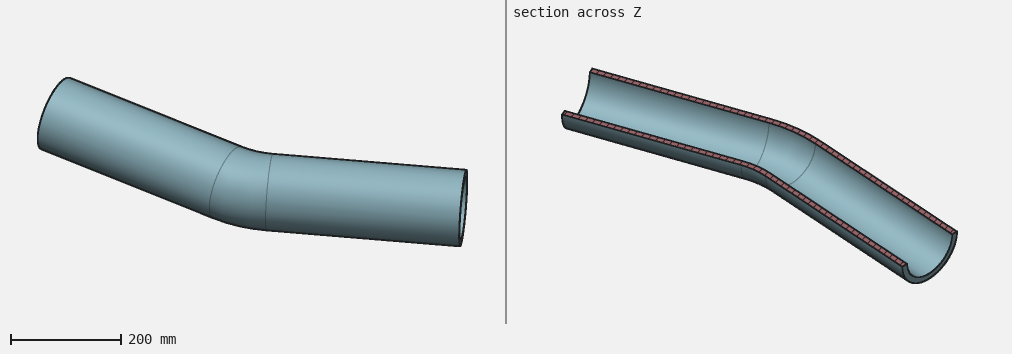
import cadquery as cq
import math

overall_length = 787.5
outer_diameter = 140.0
bore_diameter = 115.0
bend_angle = 22.0
bend_radius = 1.5 * outer_diameter

angle = math.radians(bend_angle)
bend_outer_span = (bend_radius + outer_diameter / 2) * math.sin(angle)
leg_length = (overall_length - bend_outer_span) / (1 + math.cos(angle))


def tube_section():
    """Ring profile of the pipe in the YZ plane, centred on the X axis."""
    return cq.Workplane("YZ").circle(outer_diameter / 2).circle(bore_diameter / 2)


def straight_leg():
    """Straight pipe running along +X from the origin."""
    return tube_section().extrude(leg_length)


bend = tube_section().revolve(bend_angle, (bend_radius, 0), (bend_radius, 1))
bend = bend.translate((leg_length, 0, 0))

bend_end_x = leg_length + bend_radius * math.sin(angle)
bend_end_y = bend_radius * (1 - math.cos(angle))
far_leg = straight_leg().rotate((0, 0, 0), (0, 0, 1), bend_angle)
far_leg = far_leg.translate((bend_end_x, bend_end_y, 0))

result = straight_leg().union(bend).union(far_leg)